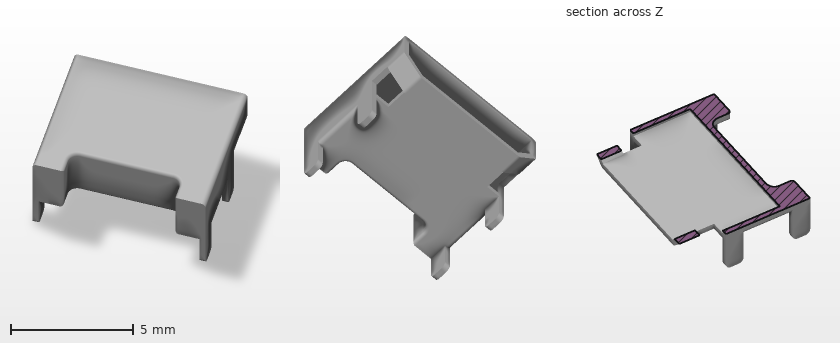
import cadquery as cq
import math

WIDTH = 7.4
LENGTH = 6.01
BODY_HEIGHT = 2.36
TOTAL_HEIGHT = 3.9
SHEET = 0.27
BEND_RADIUS = 0.2

LEG_LENGTH = 0.85
LEG_GAP = 2.37
LEG_CORNER_RADIUS = 0.25
LEG_STARTS = (0.0, LEG_LENGTH + LEG_GAP)

LIP_LENGTH = 1.0
SLOPE_HEIGHT = 0.925
SLOPE_ANGLE = 45.0

RELIEF_HEIGHT = 1.02

RECESS_WIDTH = 4.75
RECESS_DEPTH = 1.06
RECESS_CORNER_RADIUS = 0.4
RECESS_EDGE_RADIUS = 0.15

MARGIN = 0.01

HALF_WIDTH = WIDTH / 2
BODY_BOTTOM = TOTAL_HEIGHT - BODY_HEIGHT
SLOPE_WIDTH = SLOPE_HEIGHT * math.tan(math.radians(SLOPE_ANGLE))
LIP_START = LENGTH - LIP_LENGTH
RELIEF_START = LEG_STARTS[-1] + LEG_LENGTH
CAVITY_START = RECESS_DEPTH + SHEET


def extrude_along_y(points, start, end):
    """Extrude an XZ outline from y = start to y = end."""
    outline = cq.Workplane("XZ", origin=(0, start, 0)).polyline(points).close()
    return outline.extrude(start - end)


def box(x_range, y_range, z_range):
    """Box spanning the given ranges."""
    spans = [high - low for low, high in (x_range, y_range, z_range)]
    corner = (x_range[0], y_range[0], z_range[0])
    return cq.Workplane("XY", origin=corner).box(*spans, centered=False)


def lip_outline(inset):
    """Cross-section with sloping lower corners, moved inwards by inset."""
    half = HALF_WIDTH - inset
    top = TOTAL_HEIGHT - inset
    bottom = BODY_BOTTOM + inset
    angle = math.radians(SLOPE_ANGLE)
    wall_z = BODY_BOTTOM + SLOPE_HEIGHT + inset * math.tan(angle / 2)
    floor_x = HALF_WIDTH - SLOPE_WIDTH - inset * math.tan((math.pi / 2 - angle) / 2)
    right = [(floor_x, bottom), (half, wall_z), (half, top)]
    left = [(-x, z) for x, z in reversed(right)]
    return right + left


def main_shell():
    """Straight-walled block with rounded bends along its four long edges."""
    block = box((-HALF_WIDTH, HALF_WIDTH), (0, LIP_START), (BODY_BOTTOM, TOTAL_HEIGHT))
    return block.edges("|Y").fillet(BEND_RADIUS)


def lip():
    """Rear length of the shell, with all bends rounded."""
    solid = extrude_along_y(lip_outline(0), LIP_START, LENGTH)
    return solid.edges("|Y").fillet(BEND_RADIUS)


def leg(left_x, start_y):
    """Flat leg flush with a side wall, rounded at its lower corners."""
    leg_top = BODY_BOTTOM + BEND_RADIUS
    plate = box((left_x, left_x + SHEET), (start_y, start_y + LEG_LENGTH), (0, leg_top))
    return plate.edges("|X and <Z").fillet(LEG_CORNER_RADIUS)


def cavity():
    """Inside of the shell, open at the rear."""
    half = HALF_WIDTH - SHEET
    z_range = (BODY_BOTTOM + SHEET, TOTAL_HEIGHT - SHEET)
    main = box((-half, half), (CAVITY_START, LIP_START), z_range)
    return main.union(extrude_along_y(lip_outline(SHEET), LIP_START, LENGTH))


def corner_relief(left_x):
    """Opening in a lower corner between the rear leg and the lip."""
    return box(
        (left_x, left_x + SLOPE_WIDTH),
        (RELIEF_START, LIP_START),
        (BODY_BOTTOM, BODY_BOTTOM + RELIEF_HEIGHT),
    )


def cut_recess(solid):
    """Cut the front recess and round its mouth along the top, bottom and front."""
    half = RECESS_WIDTH / 2
    cutter = box((-half, half), (-RECESS_DEPTH, RECESS_DEPTH), (BODY_BOTTOM, TOTAL_HEIGHT))
    cutter = cutter.edges("|Z and >Y").fillet(RECESS_CORNER_RADIUS)
    near_recess = cq.selectors.BoxSelector(
        (-half - MARGIN, -MARGIN, BODY_BOTTOM - MARGIN),
        (half + MARGIN, RECESS_DEPTH + MARGIN, TOTAL_HEIGHT + MARGIN),
        boundingbox=True,
    )
    rim = solid.cut(cutter).edges(near_recess).edges("(not |Z) or <Y")
    return rim.fillet(RECESS_EDGE_RADIUS)


body = cut_recess(main_shell()).union(lip())
for left_x in (-HALF_WIDTH, HALF_WIDTH - SHEET):
    for start_y in LEG_STARTS:
        body = body.union(leg(left_x, start_y))
body = body.cut(cavity())
for left_x in (-HALF_WIDTH, HALF_WIDTH - SLOPE_WIDTH):
    body = body.cut(corner_relief(left_x))

result = body